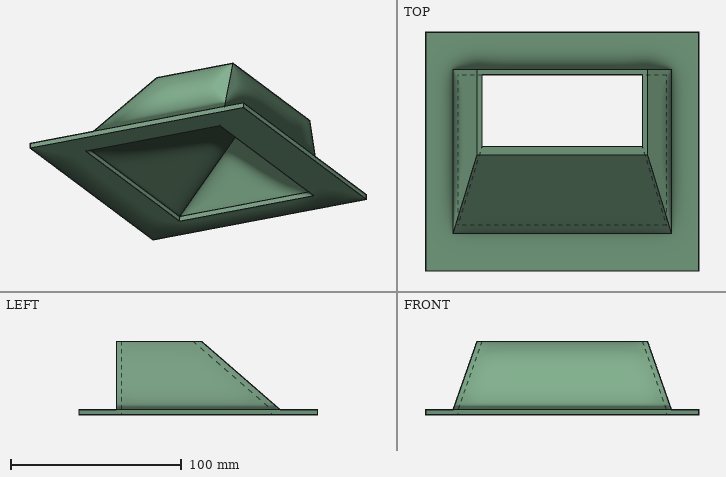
import cadquery as cq

flange_length = 160.0
flange_width = 140.0
flange_thickness = 3.0

hood_height = 40.0
hood_base_length = 128.0
hood_base_width = 96.0
hood_top_length = 100.0
hood_top_width = 50.0
hood_back_y = hood_base_width / 2

wall = 3.0
front_wall = 5.0

total_height = flange_thickness + hood_height

duct_base_length = hood_base_length - 2 * wall
duct_base_width = hood_base_width - wall - front_wall
duct_top_length = hood_top_length - 2 * wall
duct_top_width = hood_top_width - wall - front_wall
duct_back_y = hood_back_y - wall


def tapered_block(base_length, base_width, top_length, top_width, back_y, bottom_z, top_z):
    """Loft between two rectangles whose back edges share one vertical plane."""
    return (
        cq.Workplane("XY", origin=(0, back_y - base_width / 2, bottom_z))
        .rect(base_length, base_width)
        .workplane(offset=top_z - bottom_z)
        .center(0, (base_width - top_width) / 2)
        .rect(top_length, top_width)
        .loft(ruled=True)
    )


def make_flange():
    return cq.Workplane("XY").box(
        flange_length, flange_width, flange_thickness, centered=(True, True, False)
    )


def make_hood():
    return tapered_block(
        hood_base_length, hood_base_width, hood_top_length, hood_top_width,
        hood_back_y, flange_thickness, total_height,
    )


def make_duct():
    """Flared passage through the hood, parallel to its outer faces."""
    return tapered_block(
        duct_base_length, duct_base_width, duct_top_length, duct_top_width,
        duct_back_y, flange_thickness, total_height,
    )


def make_flange_opening():
    """Straight opening through the flange, matching the foot of the duct."""
    return (
        cq.Workplane("XY")
        .center(0, duct_back_y - duct_base_width / 2)
        .rect(duct_base_length, duct_base_width)
        .extrude(flange_thickness)
    )


result = make_flange().union(make_hood()).cut(make_duct()).cut(make_flange_opening())